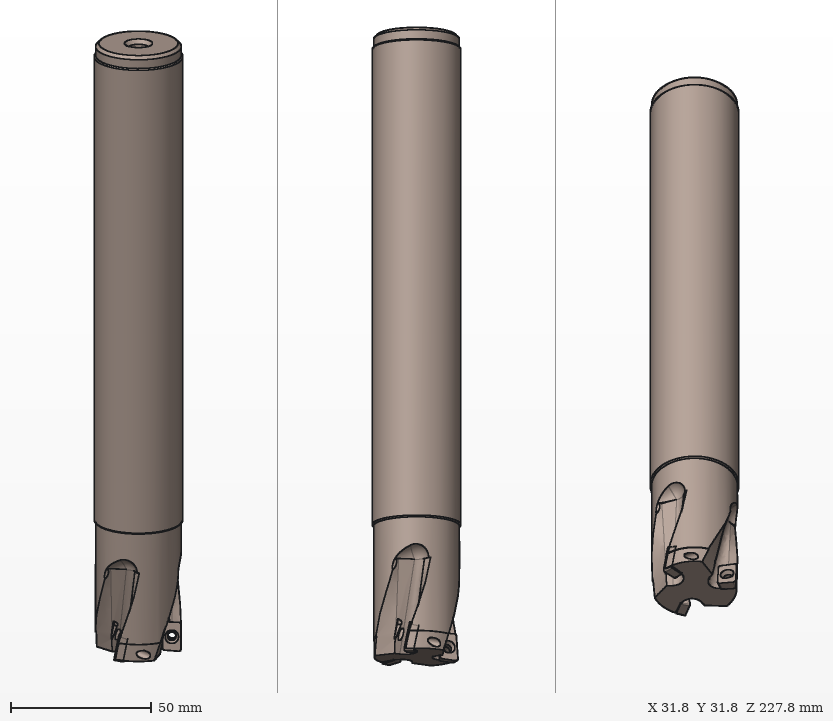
import cadquery as cq
import math


TOTAL_HEIGHT = 227.82
SHANK_DIAMETER = 31.75
SHANK_BOTTOM_Z = 49.1
HEAD_DIAMETER = 30.7
HEAD_BOTTOM_Z = 0.65
LAND_RELIEF_HEIGHT = 6.4
LAND_RELIEF_DEPTH = 0.25
SHOULDER_CHAMFER = (SHANK_DIAMETER - HEAD_DIAMETER) / 2

COLLAR_DIAMETER = 30.7
COLLAR_LENGTH = 5.0
COLLAR_CHAMFER = 1.2
COLLAR_STEP = (SHANK_DIAMETER - COLLAR_DIAMETER) / 2

BORE_DIAMETER = 7.0
BORE_MOUTH_DIAMETER = 10.0
BORE_BOTTOM_Z = 42.0
BRANCH_DIAMETER = 1.6
BRANCH_OUTLET = (8.5, -3.8, 5.5)

TOOTH_ANGLES = (60, 180, 300)
TOOTH_TILT = 12.0
RADIAL_RAKE = 3.0

INSERT_WIDTH = 6.6
INSERT_LENGTH = 10.6
INSERT_THICKNESS = 3.4
INSERT_CORNER_RADIUS = 0.8
INSERT_DISH_RISE = 0.5
INSERT_CLEARANCE_ANGLE = 11.0
INSERT_OUTER_RADIUS = 15.2
INSERT_FACE_SETBACK = 0.3
INSERT_CENTRE_Z = 5.18
SCREW_HOLE_DIAMETER = 3.0
SCREW_HEAD_DIAMETER = 4.8
SCREW_HEAD_ANGLE = 60.0
SCREW_HOLE_LENGTH = 20.0
POCKET_FRONT_LENGTH = 6.0
POCKET_RELIEF_RADIUS = 1.3

FLUTE_TOP_Z = 33.9
FLUTE_END_SLOPE = 22.0
FLUTE_WALL_OVERRUN = 8.0
FLUTE_BOTTOM_ROOT = (6.6, -4.6)
FLUTE_BOTTOM_RIDGE = (8.0, -6.0)
FLUTE_BOTTOM_FLANK = (6.0, -14.5)
FLUTE_BOTTOM_WALL = (15.3, -0.9)
FLUTE_BOTTOM_RADIUS = 4.0
FLUTE_TOP_ROOT = (11.6, 2.3)
FLUTE_TOP_RIDGE = (13.7, -3.0)
FLUTE_TOP_FLANK = (18.0, -5.8)
FLUTE_TOP_WALL = (12.6, 8.4)
FLUTE_TOP_RADIUS = 5.0
FLUTE_OUTER_X = 26.0
FLUTE_FLANK_OVERRUN = 1.5


def floor_direction(root, ridge):
    """Unit vector along the flute floor, from the ridge toward the wall."""
    floor = cq.Vector(*root) - cq.Vector(*ridge)
    return floor.normalized()


def wall_arc_centre(root, ridge, radius):
    """Centre of the round between floor and wall, and the direction out of the floor."""
    floor = floor_direction(root, ridge)
    outward = cq.Vector(floor.y, -floor.x, 0)
    return cq.Vector(*root) + outward * radius, outward


def flute_section(z, root, ridge, flank, wall, radius):
    """Closed outline of the removed material at one height."""
    centre, outward = wall_arc_centre(root, ridge, radius)
    to_wall = cq.Vector(*wall) - centre
    spoke_angle = math.atan2(to_wall.y, to_wall.x) + math.acos(radius / to_wall.Length)
    arc_end_spoke = cq.Vector(math.cos(spoke_angle), math.sin(spoke_angle), 0)
    arc_end = centre + arc_end_spoke * radius
    arc_middle = centre + (arc_end_spoke - outward).normalized() * radius
    wall_direction = (cq.Vector(*wall) - arc_end).normalized()
    wall_end = arc_end + wall_direction * FLUTE_WALL_OVERRUN
    flank_step = cq.Vector(*flank) - cq.Vector(*ridge)
    flank_end = cq.Vector(*ridge) + flank_step * FLUTE_FLANK_OVERRUN
    return (
        cq.Workplane("XY", origin=(0, 0, z))
        .moveTo(wall_end.x, wall_end.y)
        .lineTo(arc_end.x, arc_end.y)
        .threePointArc((arc_middle.x, arc_middle.y), root)
        .lineTo(*ridge)
        .lineTo(flank_end.x, flank_end.y)
        .lineTo(FLUTE_OUTER_X, flank_end.y)
        .close()
        .val()
    )


def make_flute():
    """Tapering flute with a rounded upper end."""
    bottom = flute_section(
        0,
        FLUTE_BOTTOM_ROOT,
        FLUTE_BOTTOM_RIDGE,
        FLUTE_BOTTOM_FLANK,
        FLUTE_BOTTOM_WALL,
        FLUTE_BOTTOM_RADIUS,
    )
    top = flute_section(
        FLUTE_TOP_Z,
        FLUTE_TOP_ROOT,
        FLUTE_TOP_RIDGE,
        FLUTE_TOP_FLANK,
        FLUTE_TOP_WALL,
        FLUTE_TOP_RADIUS,
    )
    channel = cq.Workplane(cq.Solid.makeLoft([bottom, top], True))

    centre, _ = wall_arc_centre(FLUTE_TOP_ROOT, FLUTE_TOP_RIDGE, FLUTE_TOP_RADIUS)
    end_centre = cq.Vector(centre.x, centre.y, FLUTE_TOP_Z)
    along_floor = floor_direction(FLUTE_TOP_ROOT, FLUTE_TOP_RIDGE) * -1
    end_direction = along_floor - cq.Vector(0, 0, math.tan(math.radians(FLUTE_END_SLOPE)))
    end_ball = cq.Workplane(origin=end_centre.toTuple()).sphere(FLUTE_TOP_RADIUS)
    end_round = cq.Solid.makeCylinder(FLUTE_TOP_RADIUS, HEAD_DIAMETER / 2, end_centre, end_direction)
    return channel, end_ball, cq.Workplane(end_round)


def insert_plane():
    """Plane of the insert's cutting face, with its normal pointing in the cutting direction."""
    tilt = math.radians(TOOTH_TILT)
    centre = (
        INSERT_OUTER_RADIUS - INSERT_WIDTH / 2,
        INSERT_FACE_SETBACK,
        INSERT_CENTRE_Z,
    )
    rake = math.radians(RADIAL_RAKE)
    across = (math.cos(rake), math.sin(rake), 0)
    facing = (math.sin(rake) * math.cos(tilt), -math.cos(rake) * math.cos(tilt), math.sin(tilt))
    return cq.Plane(origin=centre, xDir=across, normal=facing)


def insert_outline():
    """Cutting edge outline, with its lower edge rising toward the tool axis."""
    half_width = INSERT_WIDTH / 2
    half_length = INSERT_LENGTH / 2
    corners = [
        (half_width, -half_length),
        (half_width, half_length),
        (-half_width, half_length),
        (-half_width, INSERT_DISH_RISE - half_length),
        (half_width, -half_length),
    ]
    return cq.Sketch().polygon(corners).vertices().fillet(INSERT_CORNER_RADIUS)


def insert_blank(plane):
    """Insert without its screw hole, narrowing behind the cutting face."""
    return (
        cq.Workplane(plane)
        .placeSketch(insert_outline())
        .extrude(-INSERT_THICKNESS, taper=INSERT_CLEARANCE_ANGLE)
    )


def make_insert(plane):
    """Insert with a countersunk screw hole."""
    return (
        insert_blank(plane)
        .copyWorkplane(cq.Workplane(plane))
        .cskHole(SCREW_HOLE_DIAMETER, SCREW_HEAD_DIAMETER, SCREW_HEAD_ANGLE)
    )


def pocket_cuts(plane):
    """Seat for the insert, clear space ahead of it, corner relief and screw hole."""
    front_space = cq.Workplane(plane).placeSketch(insert_outline()).extrude(POCKET_FRONT_LENGTH)
    relief = (
        cq.Workplane(plane)
        .center(-INSERT_WIDTH / 2 + POCKET_RELIEF_RADIUS, INSERT_LENGTH / 2)
        .workplane(offset=-INSERT_THICKNESS)
        .circle(POCKET_RELIEF_RADIUS)
        .extrude(INSERT_THICKNESS + POCKET_FRONT_LENGTH)
    )
    screw_hole = cq.Workplane(plane).circle(SCREW_HOLE_DIAMETER / 2).extrude(-SCREW_HOLE_LENGTH)
    return insert_blank(plane), front_space, relief, screw_hole


def coolant_branch():
    """Passage from the end of the central bore to the flute floor."""
    start = cq.Vector(0, 0, BORE_BOTTOM_Z)
    path = cq.Vector(*BRANCH_OUTLET) - start
    return cq.Workplane(cq.Solid.makeCylinder(BRANCH_DIAMETER / 2, path.Length, start, path))


def make_blank():
    """Turned shank and head with the central coolant bore."""
    shank_radius = SHANK_DIAMETER / 2
    head_radius = HEAD_DIAMETER / 2
    relieved_radius = head_radius - LAND_RELIEF_DEPTH
    collar_radius = COLLAR_DIAMETER / 2
    bore_radius = BORE_DIAMETER / 2
    mouth_radius = BORE_MOUTH_DIAMETER / 2
    mouth_depth = mouth_radius - bore_radius
    relief_top_z = HEAD_BOTTOM_Z + LAND_RELIEF_HEIGHT
    collar_bottom_z = TOTAL_HEIGHT - COLLAR_LENGTH
    return (
        cq.Workplane("XZ")
        .moveTo(0, HEAD_BOTTOM_Z)
        .lineTo(relieved_radius, HEAD_BOTTOM_Z)
        .lineTo(relieved_radius, relief_top_z)
        .lineTo(head_radius, relief_top_z)
        .lineTo(head_radius, SHANK_BOTTOM_Z - SHOULDER_CHAMFER)
        .lineTo(shank_radius, SHANK_BOTTOM_Z)
        .lineTo(shank_radius, collar_bottom_z)
        .lineTo(collar_radius, collar_bottom_z + COLLAR_STEP)
        .lineTo(collar_radius, TOTAL_HEIGHT - COLLAR_CHAMFER)
        .lineTo(collar_radius - COLLAR_CHAMFER, TOTAL_HEIGHT)
        .lineTo(mouth_radius, TOTAL_HEIGHT)
        .lineTo(bore_radius, TOTAL_HEIGHT - mouth_depth)
        .lineTo(bore_radius, BORE_BOTTOM_Z)
        .lineTo(0, BORE_BOTTOM_Z)
        .close()
        .revolve(360, (0, 0, 0), (0, 1, 0))
    )


def at_tooth(feature, angle):
    """Turn a feature about the tool axis to a tooth position."""
    return feature.rotate((0, 0, 0), (0, 0, 1), angle)


face_plane = insert_plane()
tooth_cuts = [*make_flute(), *pocket_cuts(face_plane), coolant_branch()]

cutter_body = make_blank()
for tooth_angle in TOOTH_ANGLES:
    for cut in tooth_cuts:
        cutter_body = cutter_body.cut(at_tooth(cut, tooth_angle))

cutting_insert = make_insert(face_plane)
inserts = [at_tooth(cutting_insert, tooth_angle) for tooth_angle in TOOTH_ANGLES]

result = cq.Compound.makeCompound([cutter_body.val(), *(insert.val() for insert in inserts)])